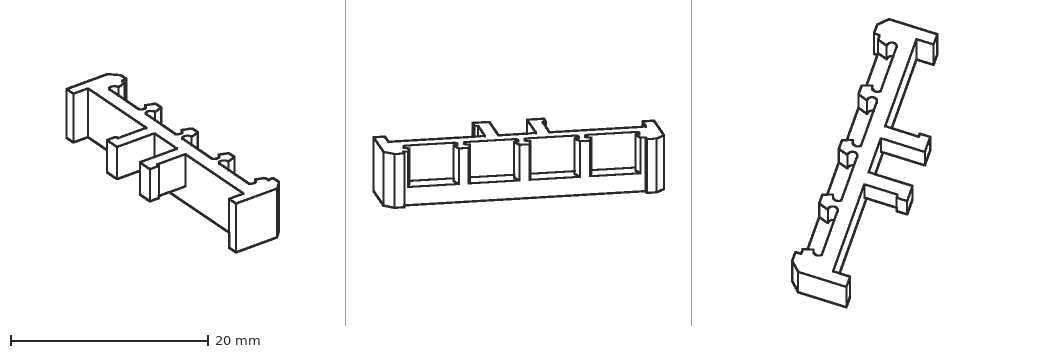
import cadquery as cq

length = 29.0
depth = 9.0
height = 5.7

bar_front_y = -4.3
end_leg_front_y = -6.12
end_leg_width = 1.2
corner_width = 1.97
corner_chamfer = 0.95
ledge_y = -0.6

clip_gap = 3.9
clip_thickness = 1.4
clip_height = 3.77
clip_lip = 0.35
clip_foot_length = 1.13

pocket_count = 4
pocket_pitch = 6.25
mouth_width = 5.25
waist_width = 4.55
bulge_width = 5.6
floor_width = 5.13
waist_y = -1.65
bulge_y = -2.15
pocket_front_y = -2.65
pocket_depth = clip_height


def make_bar():
    """Bar, end legs and rear corners as one full-height extrusion."""
    end_x = length / 2
    leg_x = end_x - end_leg_width
    corner_x = end_x - corner_width
    chamfer_x = end_x - corner_chamfer
    return (
        cq.Workplane("XY")
        .moveTo(0, ledge_y)
        .lineTo(corner_x, ledge_y)
        .lineTo(corner_x, 0)
        .lineTo(chamfer_x, 0)
        .lineTo(end_x, -corner_chamfer)
        .lineTo(end_x, end_leg_front_y)
        .lineTo(leg_x, end_leg_front_y)
        .lineTo(leg_x, bar_front_y)
        .lineTo(0, bar_front_y)
        .mirrorY()
        .extrude(height)
    )


def make_clip(side):
    """Clip leg with an outward foot; side is -1 for left, 1 for right."""
    inner_x = side * clip_gap / 2
    outer_x = inner_x + side * clip_thickness
    lip_x = outer_x + side * clip_lip
    foot_y = -depth + clip_foot_length
    root_y = (bar_front_y + pocket_front_y) / 2
    return (
        cq.Workplane("XY", origin=(0, 0, height - clip_height))
        .moveTo(inner_x, root_y)
        .lineTo(inner_x, -depth)
        .lineTo(lip_x, -depth)
        .lineTo(lip_x, foot_y)
        .lineTo(outer_x, foot_y)
        .lineTo(outer_x, root_y)
        .close()
        .extrude(clip_height)
    )


def make_pocket(center_x):
    """Pocket volume: a tapering mouth leading to a wider cavity with rounded sides."""
    return (
        cq.Workplane("XY", origin=(center_x, 0, height - pocket_depth))
        .moveTo(-mouth_width / 2, ledge_y)
        .lineTo(-waist_width / 2, waist_y)
        .threePointArc((-bulge_width / 2, bulge_y), (-floor_width / 2, pocket_front_y))
        .lineTo(floor_width / 2, pocket_front_y)
        .threePointArc((bulge_width / 2, bulge_y), (waist_width / 2, waist_y))
        .lineTo(mouth_width / 2, ledge_y)
        .close()
        .extrude(pocket_depth)
    )


result = make_bar()
for side in (-1, 1):
    result = result.union(make_clip(side))
for index in range(pocket_count):
    pocket_x = (index - (pocket_count - 1) / 2) * pocket_pitch
    result = result.cut(make_pocket(pocket_x))